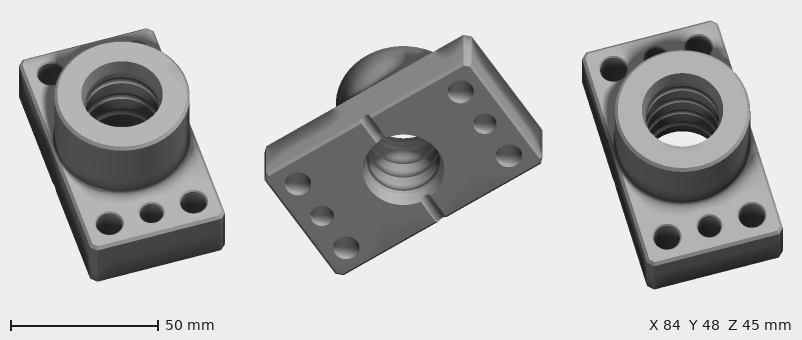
import cadquery as cq
import math

plate_length = 84.0
plate_width = 48.0
plate_height = 20.0
plate_corner_chamfer = 2.0
edge_chamfer = 1.0

total_height = 45.0
boss_radius = plate_width / 2 - edge_chamfer

foot_fillet = 1.0
fillet_overlap = 0.5
fillet_path_radius = boss_radius + foot_fillet
fillet_full_angle = math.acos(boss_radius / fillet_path_radius)
fillet_tail_steps = (0.03, 0.35, 0.7, 1.0)

bore_radius = 12.5
mouth_depth = 5.0
mouth_half_angle = math.radians(15)
mouth_radius = bore_radius + mouth_depth * math.tan(mouth_half_angle)
groove_radius = 2.0
groove_depth = 1.0
groove_count = 4
groove_pitch = 9.0

hole_column_x = 33.0
bolt_hole_y = 15.0
bolt_hole_diameter = 9.0
dowel_hole_diameter = 8.0
hole_chamfer = 0.5

channel_radius = 2.0


def make_plate():
    block = cq.Workplane("XY").box(plate_length, plate_width, plate_height, centered=(True, True, False))
    block = block.edges("|Z").chamfer(plate_corner_chamfer)
    return block.faces("<Z or >Z").edges().chamfer(edge_chamfer)


def make_boss():
    boss = cq.Workplane("XY").circle(boss_radius).extrude(total_height)
    return boss.faces(">Z").edges().chamfer(edge_chamfer)


def fillet_section(angle):
    """Fillet cross-section in the vertical plane turned by angle from +Y towards +X.

    The arc leaves the boss tangentially and ends on the long edge of the flat top.
    Its inner side is sunk into the boss and the plate so that the bodies overlap.
    """
    toe_radius = boss_radius / math.cos(angle)
    toe_offset = fillet_path_radius - toe_radius
    arc_height = math.sqrt(max(foot_fillet**2 - toe_offset**2, 0))
    half_sweep = math.atan2(arc_height, toe_offset) / 2
    arc_middle = (
        fillet_path_radius - foot_fillet * math.cos(half_sweep),
        arc_height - foot_fillet * math.sin(half_sweep),
    )
    inner_radius = boss_radius - fillet_overlap
    plane = cq.Plane(
        origin=(0, 0, plate_height),
        xDir=(math.sin(angle), math.cos(angle), 0),
        normal=(math.cos(angle), -math.sin(angle), 0),
    )
    return (
        cq.Workplane(plane)
        .moveTo(inner_radius, -fillet_overlap)
        .lineTo(inner_radius, arc_height)
        .lineTo(boss_radius, arc_height)
        .threePointArc(arc_middle, (toe_radius, 0))
        .close()
    )


def make_foot_fillet():
    """Full fillet around the +X side with a thinning tail at each end, mirrored to the -X side."""
    full_sweep = 180 - 2 * math.degrees(fillet_full_angle)
    full = fillet_section(fillet_full_angle).revolve(full_sweep, (0, 0), (0, -1))
    wires = [fillet_section(step * fillet_full_angle).wire().val() for step in fillet_tail_steps]
    tail = cq.Workplane(cq.Solid.makeLoft(wires))
    half = full.union(tail).union(tail.mirror("XZ"))
    return half.union(half.mirror("YZ"))


def make_bore():
    """Cylindrical bore that widens to a cone at both ends."""
    profile = (
        cq.Workplane("XZ")
        .lineTo(mouth_radius, 0)
        .lineTo(bore_radius, mouth_depth)
        .lineTo(bore_radius, total_height - mouth_depth)
        .lineTo(mouth_radius, total_height)
        .lineTo(0, total_height)
        .close()
    )
    return profile.revolve(360, (0, 0), (0, 1))


def make_groove(z):
    """Ring whose outer side cuts an arc-shaped groove into the bore wall."""
    ring_radius = bore_radius + groove_depth - groove_radius
    return cq.Workplane(cq.Solid.makeTorus(ring_radius, groove_radius, cq.Vector(0, 0, z)))


def make_hole(x, y, diameter):
    """Through hole with a 45 degree chamfer at the top of the plate."""
    radius = diameter / 2
    profile = (
        cq.Workplane("XZ")
        .lineTo(radius, 0)
        .lineTo(radius, plate_height - hole_chamfer)
        .lineTo(radius + hole_chamfer, plate_height)
        .lineTo(0, plate_height)
        .close()
    )
    return profile.revolve(360, (0, 0), (0, 1)).translate((x, y, 0))


def make_channel():
    return cq.Workplane("XZ").circle(channel_radius).extrude(plate_width / 2, both=True)


result = make_plate().union(make_boss()).union(make_foot_fillet())
result = result.cut(make_channel())

result = result.cut(make_bore())
lowest_groove_z = (total_height - groove_pitch * (groove_count - 1)) / 2
for index in range(groove_count):
    result = result.cut(make_groove(lowest_groove_z + index * groove_pitch))

for column_x in (-hole_column_x, hole_column_x):
    result = result.cut(make_hole(column_x, -bolt_hole_y, bolt_hole_diameter))
    result = result.cut(make_hole(column_x, 0, dowel_hole_diameter))
    result = result.cut(make_hole(column_x, bolt_hole_y, bolt_hole_diameter))